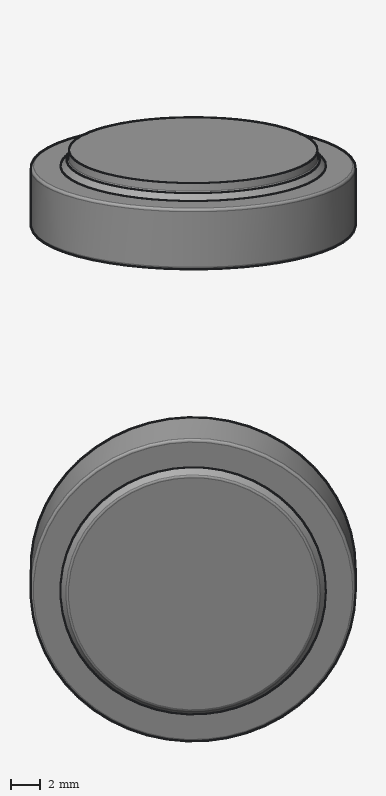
import cadquery as cq

ring_diameter = 21.7
ring_height = 4.23
ring_edge_radius = 0.2
core_diameter = 17.7
core_height = 5.85
lower_lip_height = 0.55
lower_bevel_width = 0.43
lower_edge_radius = 0.22
boss_foot_diameter = 16.9
boss_foot_level = 5.2
boss_foot_fillet = 0.1
boss_top_diameter = 16.58

core_radius = core_diameter / 2
ring_top = lower_lip_height + ring_height
boss_foot_radius = boss_foot_diameter / 2
boss_wall_radius = boss_foot_radius - boss_foot_fillet
boss_wall_level = boss_foot_level + boss_foot_fillet


def make_ring():
    """Outer ring with rounded outer edges and a plain bore for the core."""
    ring = (
        cq.Workplane("XY")
        .workplane(offset=lower_lip_height)
        .circle(ring_diameter / 2)
        .extrude(ring_height)
        .edges()
        .fillet(ring_edge_radius)
    )
    bore = cq.Workplane("XY").circle(core_radius).extrude(core_height)
    return ring.cut(bore)


def make_core():
    """Disc through the ring, bevelled at both ends, with a slightly tapered boss on top."""
    profile = (
        cq.Workplane("XZ")
        .lineTo(core_radius - lower_bevel_width, 0)
        .lineTo(core_radius, lower_lip_height)
        .lineTo(core_radius, ring_top)
        .lineTo(boss_foot_radius, boss_foot_level)
        .radiusArc((boss_wall_radius, boss_wall_level), boss_foot_fillet)
        .lineTo(boss_top_diameter / 2, core_height)
        .lineTo(0, core_height)
        .close()
    )
    core = profile.revolve(360, (0, 0, 0), (0, 1, 0))
    return core.faces("<Z").edges().fillet(lower_edge_radius)


ring = make_ring()
core = make_core()
result = cq.Compound.makeCompound([ring.val(), core.val()])